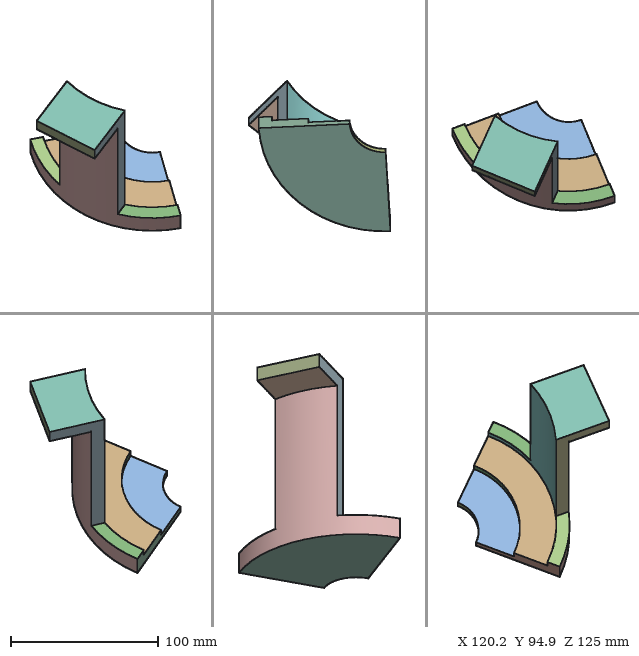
import cadquery as cq
import math

OUTER_RADIUS = 85.0
STEP_INNER_RADII = (23.25, 51.3, 76.0)
STEP_HEIGHTS = (5.0, 10.0, 15.0)
SECTOR_ANGLE = 90.0

POST_WIDTH = 46.35
TOTAL_HEIGHT = 125.0
LEDGE_THICKNESS = 10.0
OVERALL_DEPTH = 94.89

HALF_ANGLE = math.radians(SECTOR_ANGLE / 2)
BORE_RADIUS = STEP_INNER_RADII[0]
POST_INNER_RADIUS = STEP_INNER_RADII[-1]
BACK_Y = -BORE_RADIUS * math.cos(HALF_ANGLE)
LEDGE_FRONT_Y = BACK_Y - OVERALL_DEPTH


def sector_point(radius, angle):
    """Point at a radius, with the angle measured from the -Y axis."""
    return (radius * math.sin(angle), -radius * math.cos(angle))


def ring_sector(inner_radius, height):
    """Ring sector centred on the -Y axis, standing on Z = 0."""
    return (
        cq.Workplane("XY")
        .moveTo(*sector_point(inner_radius, -HALF_ANGLE))
        .lineTo(*sector_point(OUTER_RADIUS, -HALF_ANGLE))
        .threePointArc(sector_point(OUTER_RADIUS, 0), sector_point(OUTER_RADIUS, HALF_ANGLE))
        .lineTo(*sector_point(inner_radius, HALF_ANGLE))
        .threePointArc(sector_point(inner_radius, 0), sector_point(inner_radius, -HALF_ANGLE))
        .close()
        .extrude(height)
    )


def stepped_base():
    base = ring_sector(STEP_INNER_RADII[0], STEP_HEIGHTS[0])
    for inner_radius, height in zip(STEP_INNER_RADII[1:], STEP_HEIGHTS[1:]):
        base = base.union(ring_sector(inner_radius, height))
    return base


def post():
    """Curved wall of the outermost ring, trimmed to the post width."""
    trim = cq.Workplane("XY").box(
        POST_WIDTH, 2 * OUTER_RADIUS, TOTAL_HEIGHT, centered=(True, True, False)
    )
    return ring_sector(POST_INNER_RADIUS, TOTAL_HEIGHT).intersect(trim)


def ledge():
    """Flat plate at the top whose back edge follows the inner face of the post."""
    half_width = POST_WIDTH / 2
    back_corner_y = -math.sqrt(POST_INNER_RADIUS**2 - half_width**2)
    return (
        cq.Workplane("XY")
        .workplane(offset=TOTAL_HEIGHT - LEDGE_THICKNESS)
        .moveTo(-half_width, back_corner_y)
        .threePointArc((0, -POST_INNER_RADIUS), (half_width, back_corner_y))
        .lineTo(half_width, LEDGE_FRONT_Y)
        .lineTo(-half_width, LEDGE_FRONT_Y)
        .close()
        .extrude(LEDGE_THICKNESS)
    )


result = stepped_base().union(post()).union(ledge())